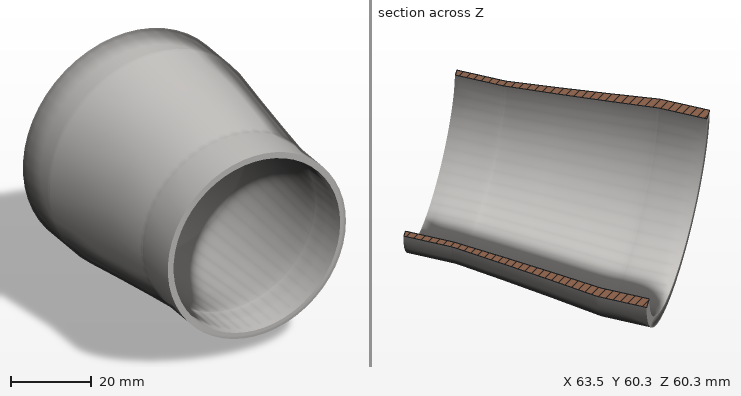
import cadquery as cq

length = 63.5
wide_outer_radius = 60.3 / 2
wide_inner_radius = 54.8 / 2
narrow_outer_radius = 50.8 / 2
narrow_inner_radius = 47.5 / 2

collar_length = 12.4
blend_length = 0.75
blend_drop = 0.05

wide_collar_end = collar_length
taper_start = wide_collar_end + blend_length
narrow_collar_start = length - collar_length
taper_end = narrow_collar_start - blend_length
taper_middle = (taper_start + taper_end) / 2

taper_sag = 0.1


def reducer_solid(wide_radius, narrow_radius):
    """Solid of revolution: two cylinders joined by a gently curved taper."""
    taper_wide_radius = wide_radius - blend_drop
    taper_narrow_radius = narrow_radius + blend_drop
    middle_radius = (wide_radius + narrow_radius) / 2 - taper_sag
    return (
        cq.Workplane("XY")
        .moveTo(0, 0)
        .lineTo(0, wide_radius)
        .lineTo(wide_collar_end, wide_radius)
        .lineTo(taper_start, taper_wide_radius)
        .threePointArc((taper_middle, middle_radius), (taper_end, taper_narrow_radius))
        .lineTo(narrow_collar_start, narrow_radius)
        .lineTo(length, narrow_radius)
        .lineTo(length, 0)
        .close()
        .revolve(360, (0, 0, 0), (1, 0, 0))
    )


outside = reducer_solid(wide_outer_radius, narrow_outer_radius)
bore = reducer_solid(wide_inner_radius, narrow_inner_radius)

result = outside.cut(bore)